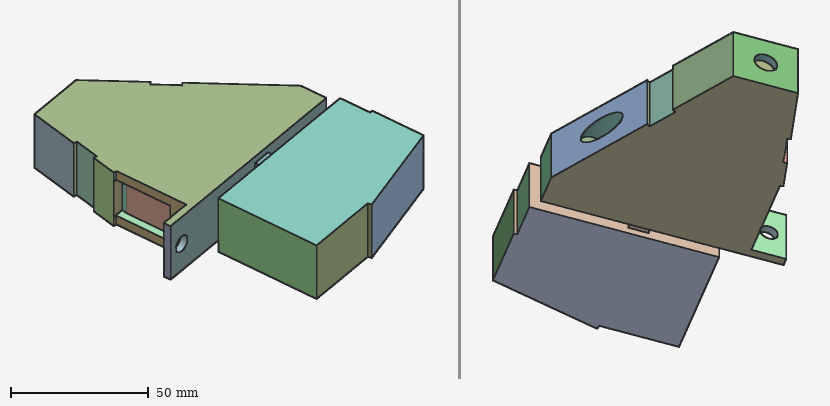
import cadquery as cq
import math

THICKNESS = 25.0

HOUSING_BACK = 78.4
HOUSING_TOP = 93.1
HOUSING_BOTTOM = 13.4
NOSE_LOW = 21.4
NOSE_HIGH = 46.2
SHOULDER_X = 66.7
LOWER_SLOPE_END_X = 43.3
LOWER_SLOPE_END_Y = 12.1
GROOVE_DEPTH = 1.4
UPPER_GROOVE = (22.2, 31.5)
LOWER_GROOVE = (21.5, 32.3)
FLANGE_THICKNESS = 3.1

RECESS_HEIGHT = 16.6
RECESS_FLOOR_Y = 16.7
RECESS_FLOOR_START = 45.5
RECESS_FLOOR_END = 66.6
RECESS_MOUTH_END = 68.0

FLANGE_HOLE_DIAMETER = 6.8
FLANGE_HOLE_Y = 6.7
NOSE_HOLE_DIAMETER = 8.8
NOSE_HOLE_DEPTH = 3.1
UPPER_HOLE_DIAMETER = 10.8
UPPER_HOLE_Y = 80.1
UPPER_HOLE_FLOOR_X = 58.0

BLOCK_FRONT = 82.4
BLOCK_BACK = 127.2
BLOCK_BOTTOM = 23.3
BLOCK_TOP = 97.4
BLOCK_STEP_X = 96.1
BLOCK_STEP_DEPTH = 1.3
BLOCK_CORNER_X = 119.5
BLOCK_TIP_X = 128.8
BLOCK_TIP_Y = 54.2
BLOCK_TIP_NOTCH_Y = 53.8
PIN_DIAMETER = 6.5
PIN_Y = 80.2
TONGUE_WIDTH = 7.9
TONGUE_Y = 54.3
TONGUE_HEIGHT = 18.9

LOWER_SLOPE = (LOWER_SLOPE_END_Y - NOSE_LOW) / LOWER_SLOPE_END_X
UPPER_SLOPE = (HOUSING_TOP - NOSE_HIGH) / SHOULDER_X


def plate(points, height):
    """Extrude an XY outline symmetrically about the middle plane."""
    return cq.Workplane("XY").polyline(points).close().extrude(height / 2, both=True)


def rod(diameter, y, x_start, x_end):
    """Cylinder along X, centred on the middle plane."""
    return (
        cq.Workplane("YZ", origin=(x_start, y, 0))
        .circle(diameter / 2)
        .extrude(x_end - x_start)
    )


def slope_groove(nose_y, slope, x_range):
    """Shallow square groove across a sloping side."""
    x_start, x_end = x_range
    length = math.hypot(1, slope) * (x_end - x_start)
    x_middle = (x_start + x_end) / 2
    groove = cq.Workplane("XY").box(length, 2 * GROOVE_DEPTH, THICKNESS)
    groove = groove.rotate((0, 0, 0), (0, 0, 1), math.degrees(math.atan(slope)))
    return groove.translate((x_middle, nose_y + slope * x_middle, 0))


def housing():
    flange_front = HOUSING_BACK - FLANGE_THICKNESS
    slope_step = HOUSING_BOTTOM - LOWER_SLOPE_END_Y
    body = plate(
        [
            (0, NOSE_LOW),
            (LOWER_SLOPE_END_X, LOWER_SLOPE_END_Y),
            (LOWER_SLOPE_END_X - slope_step * LOWER_SLOPE, HOUSING_BOTTOM),
            (flange_front, HOUSING_BOTTOM),
            (flange_front, 0),
            (HOUSING_BACK, 0),
            (HOUSING_BACK, HOUSING_TOP),
            (SHOULDER_X, HOUSING_TOP),
            (0, NOSE_HIGH),
        ],
        THICKNESS,
    )
    body = body.cut(slope_groove(NOSE_HIGH, UPPER_SLOPE, UPPER_GROOVE))
    body = body.cut(slope_groove(NOSE_LOW, LOWER_SLOPE, LOWER_GROOVE))
    body = body.cut(recess())
    body = body.cut(rod(FLANGE_HOLE_DIAMETER, FLANGE_HOLE_Y, flange_front, HOUSING_BACK))
    nose_middle = (NOSE_LOW + NOSE_HIGH) / 2
    body = body.cut(rod(NOSE_HOLE_DIAMETER, nose_middle, 0, NOSE_HOLE_DEPTH))
    return body.cut(rod(UPPER_HOLE_DIAMETER, UPPER_HOLE_Y, 0, UPPER_HOLE_FLOOR_X))


def recess():
    """Pocket with a sloping start, a flat floor and a leaning end wall."""
    sloping_start_y = RECESS_FLOOR_Y - LOWER_SLOPE * (RECESS_FLOOR_START - LOWER_SLOPE_END_X)
    return plate(
        [
            (LOWER_SLOPE_END_X, LOWER_SLOPE_END_Y),
            (LOWER_SLOPE_END_X, sloping_start_y),
            (RECESS_FLOOR_START, RECESS_FLOOR_Y),
            (RECESS_FLOOR_END, RECESS_FLOOR_Y),
            (RECESS_MOUTH_END, HOUSING_BOTTOM),
            (RECESS_MOUTH_END, LOWER_SLOPE_END_Y),
        ],
        RECESS_HEIGHT,
    )


def rear_block():
    return plate(
        [
            (BLOCK_FRONT, BLOCK_BOTTOM),
            (BLOCK_BACK, BLOCK_BOTTOM),
            (BLOCK_BACK, BLOCK_TIP_NOTCH_Y),
            (BLOCK_TIP_X, BLOCK_TIP_Y),
            (BLOCK_CORNER_X, BLOCK_TOP),
            (BLOCK_STEP_X, BLOCK_TOP),
            (BLOCK_STEP_X, BLOCK_TOP - BLOCK_STEP_DEPTH),
            (BLOCK_FRONT, BLOCK_TOP - BLOCK_STEP_DEPTH),
        ],
        THICKNESS,
    )


def links():
    """Round pin and rectangular tongue bridging the gap."""
    gap = BLOCK_FRONT - HOUSING_BACK
    tongue = cq.Workplane("XY").box(gap, TONGUE_WIDTH, TONGUE_HEIGHT)
    tongue = tongue.translate((HOUSING_BACK + gap / 2, TONGUE_Y, 0))
    return tongue.union(rod(PIN_DIAMETER, PIN_Y, HOUSING_BACK, BLOCK_FRONT))


result = housing().union(links()).union(rear_block())